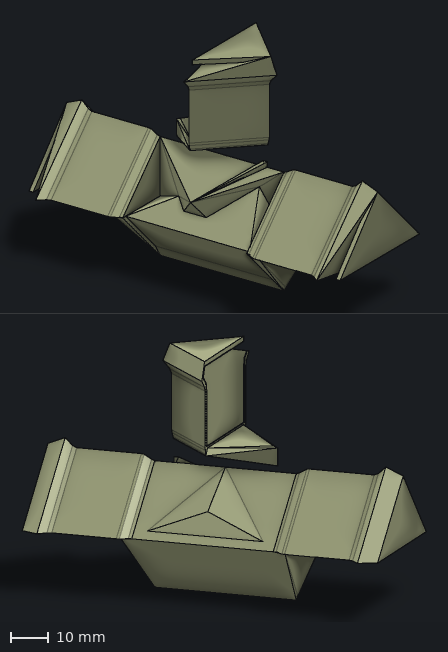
import cadquery as cq
import math

RUN_HALF_LENGTH = 50.5
BRANCH_TOP = 50.0
RUN_RADIUS = 19.0
BRANCH_RADIUS = 15.4
FLARE_RISE = 2.47
END_RISE = 0.45
NECK_RISE = 0.5
LIP_DEPTH = 4.95
NECK_DEPTH = 2.1
BLEND_DEPTH = 1.2
LIP_THICKNESS = 1.4
LIP_SETBACK = 1.5

PIPE_RADIUS = 17.4
BORE_RADIUS = 16.0
MIDDLE_HALF = 20.1
SHOULDER_INNER = 21.0
SHOULDER_OUTER = 23.1
STRAIGHT_START = 23.9
SHOULDER_RADIUS = 17.7
SHOULDER_EDGE_RADIUS = 18.9
BACK_REACH = 23.4
WEDGE_TIP = 20.5
KEEL_HEIGHT = 13.8

SADDLE_REACH = 14.7
SADDLE_SIDE_HEIGHT = 8.7
SADDLE_PEAK = 19.0
RIM_WIDTH = 1.4
SADDLE_FOOT_Y = -12.0
SADDLE_FOOT_Z = 4.0
SADDLE_FOOT_LEFT = -4.2
SADDLE_FOOT_RIGHT = 3.5
SADDLE_LEFT_CORNER = (-7.3, -9.7)
SADDLE_RIGHT_CORNER = (14.8, -3.9)
REAR_SADDLE_Y = 13.4
REAR_SADDLE_HEIGHT = 8.3
REAR_SADDLE_HALF = 16.4
REAR_SADDLE_END_Y = 15.4

FOOT_BOTTOM = 23.9
FOOT_SHOULDER = 24.4
FOOT_EDGE = 25.5
FOOT_TOP = 26.3
FOOT_RADIUS = 14.85
FOOT_SHOULDER_RADIUS = 15.0
FOOT_EDGE_RADIUS = 15.25
FOOT_PLATE_TOP = 25.8
FOOT_PLATE_RADIUS = 13.6
FOOT_PLATE_TIP = 24.4
FOOT_TIP = 19.0

BACK_RECESS_DEPTH = 0.2
BACK_WALL = 1.27
GROOVE_DEPTH = 4.25
GROOVE_WALL = 1.1
BORE_NECK_DEPTH = 6.1

TOLERANCE = 1e-5


def plane_face(points, anchor, normal):
    """Flat face through every point lying in the plane, ordered around its centre."""
    flat = [p for p in points if abs((p - anchor).dot(normal)) < TOLERANCE]
    centre = sum(flat, cq.Vector()) / len(flat)
    u = (max(flat, key=lambda p: (p - centre).Length) - centre).normalized()
    v = normal.cross(u)
    flat.sort(key=lambda p: math.atan2((p - centre).dot(v), (p - centre).dot(u)))
    return cq.Face.makeFromWires(cq.Wire.makePolygon(flat, close=True))


def convex_solid(coordinates):
    """Smallest convex solid around the given corner points."""
    points = [cq.Vector(*c) for c in sorted(set(coordinates))]
    normals = []
    faces = []
    for i, a in enumerate(points):
        for j, b in enumerate(points[:i]):
            for c in points[:j]:
                normal = (b - a).cross(c - a)
                if normal.Length < TOLERANCE:
                    continue
                normal = normal.normalized()
                sides = [(p - a).dot(normal) for p in points]
                if min(sides) < -TOLERANCE and max(sides) > TOLERANCE:
                    continue
                if max(sides) > TOLERANCE:
                    normal = normal * -1
                if any((normal - n).Length < TOLERANCE for n in normals):
                    continue
                normals.append(normal)
                faces.append(plane_face(points, a, normal))
    return cq.Workplane(cq.Solid.makeSolid(cq.Shell.makeShell(faces)))


def fuse(pieces):
    body = pieces[0]
    for piece in pieces[1:]:
        body = body.union(piece)
    return body


def section(along, radius):
    """Triangle across a pipe, as (along, side, out) points: flat back, one outward corner."""
    return [(along, -radius, 0), (along, radius, 0), (along, 0, radius)]


def socket(end, radius, inner_stations, place):
    """Straight socket with flare and lip; place maps (along, side, out) to (x, y, z)."""
    peak = end - LIP_DEPTH
    neck = peak - NECK_DEPTH
    peak_section = section(peak, radius + FLARE_RISE)
    stations = [section(*s) for s in inner_stations]
    stations.append(section(neck - BLEND_DEPTH, radius))
    stations.append(section(neck, radius + NECK_RISE))
    stations.append(peak_section)
    pieces = [a + b for a, b in zip(stations, stations[1:])]

    end_radius = radius + END_RISE
    mouth_face = [(end, 0, 0), (end, end_radius, 0), (end, 0, end_radius)]
    pieces.append(peak_section + mouth_face)

    lip_tip = LIP_SETBACK - radius
    lip_corners = [(0, 0), (lip_tip, 0), (0, end_radius)]
    pieces.append([(a, s, o) for a in (end, end - LIP_THICKNESS) for s, o in lip_corners])
    return fuse([convex_solid([place(*p) for p in piece]) for piece in pieces])


def run_socket(direction):
    inner_stations = [
        (MIDDLE_HALF, PIPE_RADIUS),
        (SHOULDER_INNER, SHOULDER_RADIUS),
        (SHOULDER_OUTER, SHOULDER_EDGE_RADIUS),
        (STRAIGHT_START, RUN_RADIUS),
    ]
    return socket(RUN_HALF_LENGTH, RUN_RADIUS, inner_stations, lambda a, s, o: (direction * a, s, o))


def branch_foot():
    corners = [
        (-FOOT_RADIUS, 0, FOOT_TIP),
        (-FOOT_PLATE_RADIUS, 0, FOOT_TIP),
        (-FOOT_RADIUS, 0, FOOT_BOTTOM),
        (-FOOT_PLATE_RADIUS, 0, FOOT_PLATE_TIP),
        (FOOT_RADIUS, 0, FOOT_BOTTOM),
    ]
    for side in (-1, 1):
        corners.append((0, side * FOOT_RADIUS, FOOT_BOTTOM))
        corners.append((0, side * FOOT_PLATE_RADIUS, FOOT_PLATE_TOP))
    return convex_solid(corners)


def back_recess():
    bore = BRANCH_RADIUS - BACK_WALL
    groove = BRANCH_RADIUS + FLARE_RISE - GROOVE_WALL
    half_outline = [
        (bore, FOOT_TOP),
        (bore, BRANCH_TOP - LIP_DEPTH - NECK_DEPTH - BLEND_DEPTH),
        (bore + NECK_RISE, BRANCH_TOP - BORE_NECK_DEPTH),
        (groove, BRANCH_TOP - GROOVE_DEPTH),
        (BRANCH_RADIUS + END_RISE / 2, BRANCH_TOP - LIP_THICKNESS),
    ]
    mirrored = [(-side, height) for side, height in reversed(half_outline)]
    outline = cq.Workplane("YZ").polyline(half_outline + mirrored).close()
    return outline.extrude(BACK_RECESS_DEPTH)


def branch():
    inner_stations = [
        (FOOT_BOTTOM, FOOT_RADIUS),
        (FOOT_SHOULDER, FOOT_SHOULDER_RADIUS),
        (FOOT_EDGE, FOOT_EDGE_RADIUS),
        (FOOT_TOP, BRANCH_RADIUS),
    ]
    tube = socket(BRANCH_TOP, BRANCH_RADIUS, inner_stations, lambda a, s, o: (o, s, a))
    return tube.union(branch_foot()).cut(back_recess())


def middle_pipe():
    """Diamond pipe: full size behind, thinner in front, with a steeper facet at the keel."""
    outline = [
        (-BORE_RADIUS, 0),
        (0, PIPE_RADIUS),
        (PIPE_RADIUS, 0),
        (0, -PIPE_RADIUS),
        (KEEL_HEIGHT - BORE_RADIUS, -KEEL_HEIGHT),
    ]
    return cq.Workplane("YZ").polyline(outline).close().extrude(MIDDLE_HALF, both=True)


def on_front_facet(x, y):
    """Point of the middle pipe's front upper facet."""
    return (x, y, PIPE_RADIUS * (1 + y / BORE_RADIUS))


def notch(direction, saddle_corner):
    """Pocket between the saddle and a run socket, reaching in to the run axis."""
    end = direction * MIDDLE_HALF
    return convex_solid([
        (end, 0, PIPE_RADIUS),
        (end, -BORE_RADIUS, 0),
        on_front_facet(*saddle_corner),
        (end, 0, 0),
    ])


def back_wedge(direction):
    """Sloping triangular cheek under the inner end of a run socket."""
    corners = section(direction * MIDDLE_HALF, -PIPE_RADIUS)
    corners += [(direction * BACK_REACH, side * PIPE_RADIUS, 0) for side in (-1, 1)]
    corners.append((direction * WEDGE_TIP, 0, -BORE_RADIUS))
    return convex_solid(corners)


def front_saddle():
    return convex_solid([
        (-MIDDLE_HALF, 0, PIPE_RADIUS),
        (MIDDLE_HALF, 0, PIPE_RADIUS),
        (0, -SADDLE_REACH, SADDLE_SIDE_HEIGHT),
        (SADDLE_FOOT_LEFT, SADDLE_FOOT_Y, SADDLE_FOOT_Z),
        (SADDLE_FOOT_RIGHT, SADDLE_FOOT_Y, SADDLE_FOOT_Z),
        on_front_facet(*SADDLE_LEFT_CORNER),
        on_front_facet(*SADDLE_RIGHT_CORNER),
    ])


def saddle_rim():
    """Thin blade rising from the front of the saddle to its right-hand peak."""
    return convex_solid([
        (0, -SADDLE_REACH, SADDLE_SIDE_HEIGHT),
        (SADDLE_REACH - RIM_WIDTH, 0, SADDLE_PEAK),
        (SADDLE_REACH, 0, SADDLE_PEAK),
        (SADDLE_REACH, 0, BORE_RADIUS),
    ])


def rear_saddle():
    return convex_solid([
        (-REAR_SADDLE_HALF, REAR_SADDLE_END_Y, PIPE_RADIUS - REAR_SADDLE_END_Y),
        (REAR_SADDLE_HALF, REAR_SADDLE_END_Y, PIPE_RADIUS - REAR_SADDLE_END_Y),
        (0, REAR_SADDLE_Y, REAR_SADDLE_HEIGHT),
        (0, 0, PIPE_RADIUS),
        (0, 0, 0),
    ])


def middle_body():
    cheeks = [back_wedge(direction) for direction in (-1, 1)]
    notched_pipe = middle_pipe().cut(notch(-1, SADDLE_LEFT_CORNER)).cut(notch(1, SADDLE_RIGHT_CORNER))
    return fuse([notched_pipe, *cheeks, front_saddle(), saddle_rim(), rear_saddle()])


run_sockets = [run_socket(direction) for direction in (-1, 1)]
branch_socket = branch()
middle = middle_body()

result = cq.Compound.makeCompound([
    *[body.val() for body in run_sockets],
    branch_socket.val(),
    middle.val(),
])